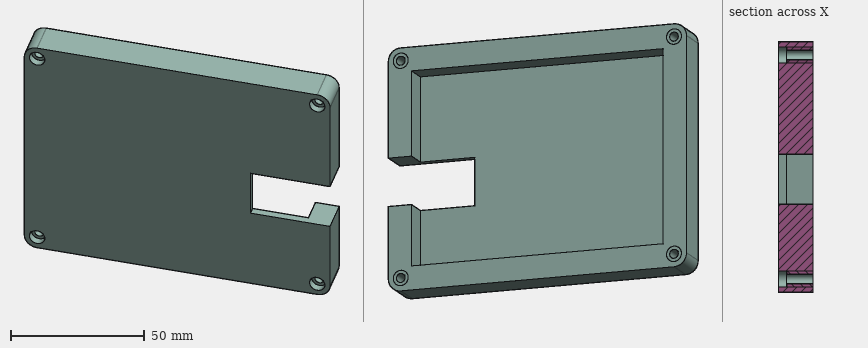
import cadquery as cq

LENGTH = 119.0
DEPTH = 13.0
HEIGHT = 94.0
CORNER_RADIUS = 5.0
PLATE_THICKNESS = 3.1
WALL_THICKNESS = 9.3

SLOT_LENGTH = 30.9
SLOT_TOP = 4.8
SLOT_BOTTOM = -13.9

INSERT_DIAMETER = 6.0
INSERT_BORE = 3.5
INSERT_RECESS = PLATE_THICKNESS

FRONT_Y = -DEPTH / 2
BACK_Y = DEPTH / 2
HOLE_X = LENGTH / 2 - CORNER_RADIUS
HOLE_Z = HEIGHT / 2 - CORNER_RADIUS
HOLE_CENTRES = [(x, z) for x in (-HOLE_X, HOLE_X) for z in (-HOLE_Z, HOLE_Z)]


def box_between(x_range, y_range, z_range):
    """Box spanning the given (low, high) range on each axis."""
    size = [high - low for low, high in (x_range, y_range, z_range)]
    corner = (x_range[0], y_range[0], z_range[0])
    return cq.Workplane("XY").box(*size, centered=False).translate(corner)


def cylinder_to_back(diameter, start_y, centre):
    """Cylinder along Y from start_y to the open back face."""
    x, z = centre
    radius = diameter / 2
    start = cq.Vector(x, start_y, z)
    solid = cq.Solid.makeCylinder(radius, BACK_Y - start_y, start, cq.Vector(0, 1, 0))
    return cq.Workplane(obj=solid)


def make_housing():
    """Rounded tray with a side slot and a through hole in each corner."""
    tray = cq.Workplane("XY").box(LENGTH, DEPTH, HEIGHT).edges("|Y").fillet(CORNER_RADIUS)

    inner_x = LENGTH / 2 - WALL_THICKNESS
    inner_z = HEIGHT / 2 - WALL_THICKNESS
    cavity = box_between(
        (-inner_x, inner_x), (FRONT_Y + PLATE_THICKNESS, BACK_Y), (-inner_z, inner_z)
    )
    slot = box_between(
        (LENGTH / 2 - SLOT_LENGTH, LENGTH / 2), (FRONT_Y, BACK_Y), (SLOT_BOTTOM, SLOT_TOP)
    )
    tray = tray.cut(cavity).cut(slot)

    for centre in HOLE_CENTRES:
        tray = tray.cut(cylinder_to_back(INSERT_DIAMETER, FRONT_Y, centre))
    return tray


def make_insert(centre):
    """Sleeve set back from the plate face and flush with the back face."""
    start_y = FRONT_Y + INSERT_RECESS
    sleeve = cylinder_to_back(INSERT_DIAMETER, start_y, centre)
    return sleeve.cut(cylinder_to_back(INSERT_BORE, start_y, centre))


housing = make_housing()
inserts = [make_insert(centre) for centre in HOLE_CENTRES]

result = cq.Compound.makeCompound([housing.val(), *[insert.val() for insert in inserts]])